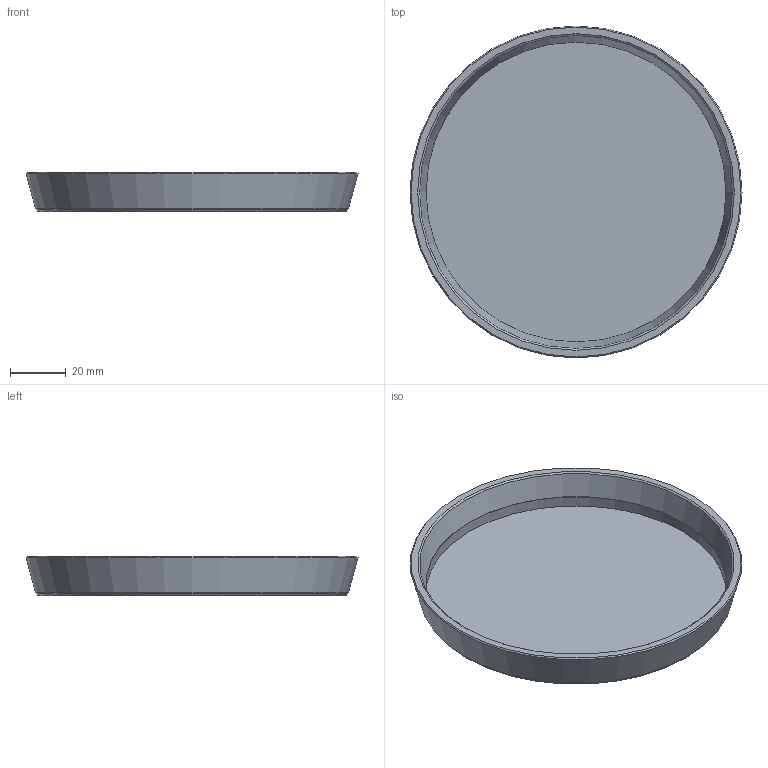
import cadquery as cq
import math

height = 14.2
base_radius = 56.0
wall_taper = 15.0
rim_chamfer = 0.5

foot_radius = 55.5
foot_bevel_radius = 56.0
foot_bevel_height = 0.7
foot_height = 1.0

floor_thickness = 1.2
recess_diameter = 107.8
recess_depth = 4.0
ledge_width = 0.1

flare = math.tan(math.radians(wall_taper))
recess_radius = recess_diameter / 2
recess_top = floor_thickness + recess_depth
ledge_radius = recess_radius + ledge_width
rim_outer_radius = base_radius + height * flare
rim_inner_radius = ledge_radius + (height - recess_top) * flare
foot_outer_radius = base_radius + foot_height * flare

chamfer_inset = rim_chamfer * math.sin(math.radians(wall_taper))
chamfer_level = height - rim_chamfer * math.cos(math.radians(wall_taper))


def outer_profile():
    """Radius and height points from the underside up to the rim."""
    return [
        (0, 0),
        (foot_radius, 0),
        (foot_bevel_radius, foot_bevel_height),
        (foot_outer_radius, foot_height),
        (rim_outer_radius - chamfer_inset, chamfer_level),
        (rim_outer_radius - rim_chamfer, height),
    ]


def inner_profile():
    """Radius and height points from the rim down to the centre of the floor."""
    return [
        (rim_inner_radius + rim_chamfer, height),
        (rim_inner_radius - chamfer_inset, chamfer_level),
        (ledge_radius, recess_top),
        (recess_radius, recess_top),
        (recess_radius, floor_thickness),
        (0, floor_thickness),
    ]


result = (
    cq.Workplane("XZ")
    .polyline(outer_profile() + inner_profile())
    .close()
    .revolve(360, (0, 0, 0), (0, 1, 0))
)